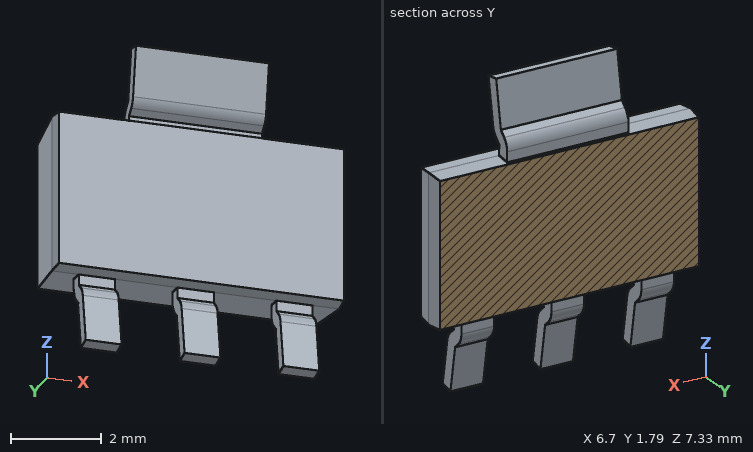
import cadquery as cq
import math

body_width = 6.7
body_height = 3.7
back_depth = 1.32
front_depth = 0.4
draft_angle = 5.0

sheet_thickness = 0.35
outer_bend_radius = 0.4
lead_reach = 1.815
straight_length = 0.25
ramp_angle = 48.0
foot_angle = 10.0
foot_corner_y = 0.077
root_depth = 0.5

pin_width = 0.84
pin_pitch = 2.3
tab_width = 3.1


def make_body():
    """Two drafted blocks meeting at the parting plane."""

    def drafted_block(depth):
        return (
            cq.Workplane("XZ")
            .rect(body_width, body_height)
            .extrude(depth, taper=draft_angle)
        )

    return drafted_block(front_depth).union(drafted_block(-back_depth))


def make_lead(width, center_x):
    """A lead leaving the top of the body, bent forward into a ramp and then a foot."""
    ramp = math.radians(ramp_angle)
    foot = math.radians(foot_angle)
    body_edge = body_height / 2
    root_z = body_edge - root_depth
    tip_z = body_edge + lead_reach

    front_corner_z = body_edge + straight_length
    back_round_z = front_corner_z + sheet_thickness * math.tan(ramp / 2)
    ramp_rise = (sheet_thickness - foot_corner_y * math.cos(ramp)) / math.sin(ramp)
    back_corner_z = front_corner_z + ramp_rise

    mitre_angle = (ramp + foot) / 2
    mitre_length = sheet_thickness / math.cos((ramp - foot) / 2)
    front_round_y = foot_corner_y - mitre_length * math.cos(mitre_angle)
    front_round_z = back_corner_z - mitre_length * math.sin(mitre_angle)

    back_tip_y = foot_corner_y - (tip_z - back_corner_z) * math.tan(foot)
    front_tip_y = back_tip_y - sheet_thickness * math.cos(foot)
    front_tip_z = tip_z - sheet_thickness * math.sin(foot)

    lead = (
        cq.Workplane("YZ")
        .moveTo(0, root_z)
        .lineTo(0, front_corner_z)
        .lineTo(front_round_y, front_round_z)
        .lineTo(front_tip_y, front_tip_z)
        .lineTo(back_tip_y, tip_z)
        .lineTo(foot_corner_y, back_corner_z)
        .lineTo(sheet_thickness, back_round_z)
        .lineTo(sheet_thickness, root_z)
        .close()
        .extrude(width / 2, both=True)
    )
    rounded_corners = (
        (0, sheet_thickness, back_round_z),
        (0, front_round_y, front_round_z),
    )
    for corner in rounded_corners:
        edge = lead.edges("|X").edges(cq.selectors.NearestToPointSelector(corner))
        lead = edge.fillet(outer_bend_radius)
    return lead.translate((center_x, 0, 0))


def make_pin(center_x):
    """A narrow lead leaving the bottom of the body, mirrored about the XY plane."""
    return make_lead(pin_width, center_x).mirror("XY")


tab = make_lead(tab_width, 0)
result = make_body().union(tab)
for pin_center_x in (-pin_pitch, 0, pin_pitch):
    result = result.union(make_pin(pin_center_x))